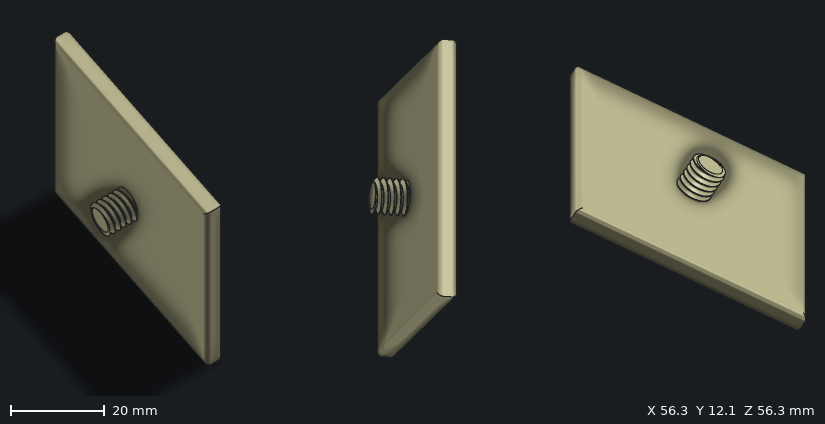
import cadquery as cq

plate_side = 56.3
plate_thickness = 4.45
plate_edge_radius = 1.3

stud_length = 7.6

thread_major_radius = 7.95 / 2
thread_minor_radius = 5.85 / 2
thread_pitch = 1.4
crest_width = 0.15
root_width = 0.05
first_crest = 0.85
groove_overshoot = 0.05


def toward_front(body):
    """Turn a body built along +Z so that it points toward -Y."""
    return body.rotate((0, 0, 0), (1, 0, 0), 90)


def make_plate_with_core():
    """Square plate with all front and back edges rounded, and the plain stud core on its front."""
    plate = (
        cq.Workplane("XY")
        .box(plate_side, plate_thickness, plate_side, centered=(True, False, True))
        .faces("<Y or >Y")
        .edges()
        .fillet(plate_edge_radius)
    )
    core = cq.Workplane("XY").circle(thread_minor_radius).extrude(stud_length)
    return plate.union(toward_front(core))


def make_thread_groove():
    """Right-handed helical V-groove around Z, running past both stud ends."""
    groove_start = first_crest - 1.5 * thread_pitch
    groove_height = stud_length - groove_start + thread_pitch

    opening_width = thread_pitch - crest_width
    outer_radius = thread_major_radius + groove_overshoot
    inner_radius = thread_minor_radius - groove_overshoot
    flank_slope = (opening_width - root_width) / 2 / (thread_major_radius - inner_radius)
    half_root = root_width / 2
    half_outer = opening_width / 2 + groove_overshoot * flank_slope

    helix = cq.Wire.makeHelix(thread_pitch, groove_height, inner_radius)
    groove = (
        cq.Workplane("XZ")
        .polyline([
            (inner_radius, -half_root),
            (outer_radius, -half_outer),
            (outer_radius, half_outer),
            (inner_radius, half_root),
        ])
        .close()
        .sweep(cq.Workplane(obj=helix), isFrenet=True)
    )
    return groove.translate((0, 0, groove_start))


def make_thread():
    """Continuous ridge left between the turns of the groove, trimmed flat at both stud ends."""
    blank = cq.Workplane("XY").circle(thread_major_radius).extrude(stud_length)
    core_bore = cq.Workplane("XY").circle(thread_minor_radius).extrude(stud_length)
    return toward_front(blank.cut(make_thread_groove()).cut(core_bore))


plate_with_core = make_plate_with_core()
thread = make_thread()

result = cq.Compound.makeCompound([plate_with_core.val(), *thread.solids().vals()])